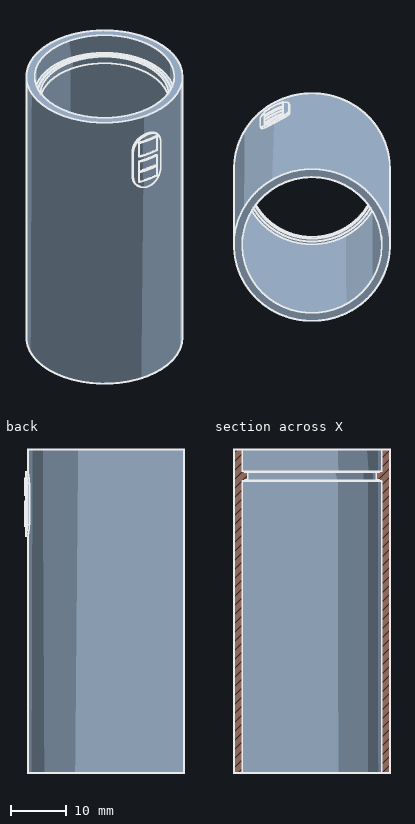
import cadquery as cq

length = 58.0
outer_diameter = 28.0
bore_diameter = 25.0
shoulder_diameter = 24.0
rib_diameter = 23.0
entry_depth = 3.9
shoulder_height = 0.2
rib_height = 1.45

badge_length = 11.6
badge_width = 5.8
badge_thickness = 0.35
badge_center_z = length - 9.8

block_width = 3.8
block_spans = [(4.2, 1.15), (7.4, 5.35), (9.8, 7.65)]
overall_x = 28.6

outer_radius = outer_diameter / 2
badge_radius = outer_radius + badge_thickness
block_radius = overall_x - outer_radius
badge_top_z = badge_center_z + badge_length / 2


def make_sleeve():
    """Tube along Z whose bore carries a stop rib with a low shoulder above and below it."""
    bore_radius = bore_diameter / 2
    rib_radius = rib_diameter / 2
    shoulder_radius = shoulder_diameter / 2
    shoulder_top = length - entry_depth
    rib_top = shoulder_top - shoulder_height
    rib_bottom = rib_top - rib_height
    shoulder_bottom = rib_bottom - shoulder_height
    profile = [
        (bore_radius, 0),
        (outer_radius, 0),
        (outer_radius, length),
        (bore_radius, length),
        (bore_radius, shoulder_top),
        (shoulder_radius, shoulder_top),
        (shoulder_radius, rib_top),
        (rib_radius, rib_top),
        (rib_radius, rib_bottom),
        (shoulder_radius, rib_bottom),
        (shoulder_radius, shoulder_bottom),
        (bore_radius, shoulder_bottom),
    ]
    return cq.Workplane("XZ").polyline(profile).close().revolve(360, (0, 0), (0, 1))


def curved_layer(outline, inner_radius, layer_radius):
    """Part of a cylindrical layer around Z that lies within an outline extruded along +X."""
    layer = cq.Workplane("XY").circle(layer_radius).circle(inner_radius).extrude(length)
    return outline.extrude(overall_x).intersect(layer)


def make_badge_plate():
    """Round-ended plate lying on the sleeve, with its long side along Z."""
    outline = cq.Workplane("YZ").center(0, badge_center_z).slot2D(badge_length, badge_width, 90)
    return curved_layer(outline, outer_radius, badge_radius)


def make_badge_block(bottom_drop, top_drop):
    """Raised block lying on the badge plate."""
    center_z = badge_top_z - (bottom_drop + top_drop) / 2
    outline = cq.Workplane("YZ").center(0, center_z).rect(block_width, bottom_drop - top_drop)
    return curved_layer(outline, badge_radius, block_radius)


sleeve = make_sleeve()
badge_plate = make_badge_plate()
badge_blocks = [make_badge_block(bottom, top) for bottom, top in block_spans]

result = cq.Compound.makeCompound(
    [sleeve.val(), badge_plate.val(), *(block.val() for block in badge_blocks)]
)